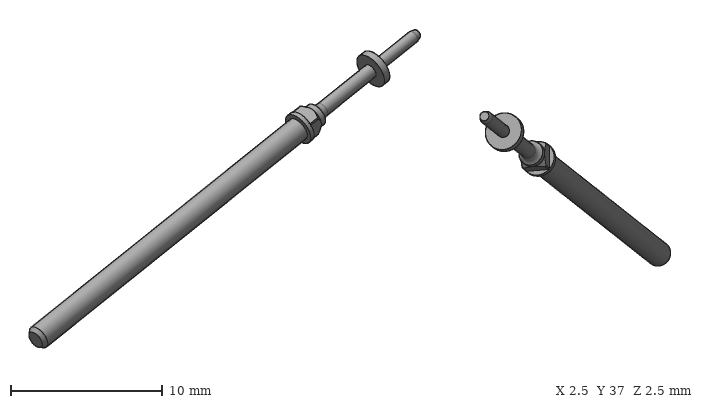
import cadquery as cq
import math

length = 37.0
tip_end = length / 2
tail_end = -length / 2
collar_top = 14.5
collar_thickness = 0.5
shoulder_bottom = 8.75
flange_top = 7.3
flange_thickness = 0.35

pin_diameter = 0.85
collar_diameter = 2.5
neck_diameter = 1.0
barrel_diameter = 1.65
flange_diameter = 2.3

tip_chamfer_length = 0.37
tip_chamfer_depth = 0.1
tail_chamfer_length = 0.3
tail_chamfer_depth = 0.22
shoulder_radius = 0.65

square_side = barrel_diameter
square_corner_diameter = 2.25
square_height = 1.05


def cylinder(diameter, top, bottom):
    """Solid cylinder on the pin axis between two stations."""
    end_face = cq.Workplane("XZ", origin=(0, top, 0))
    return end_face.circle(diameter / 2).extrude(top - bottom)


def turned(half_section):
    """Solid of revolution about the pin axis from a closed half section."""
    return half_section.close().revolve(360, (0, 0, 0), (0, 1, 0))


def frustum(top_diameter, top, bottom_diameter, bottom):
    """Solid truncated cone on the pin axis between two stations."""
    corners = [(0, top), (top_diameter / 2, top), (bottom_diameter / 2, bottom), (0, bottom)]
    return turned(cq.Workplane("XY").polyline(corners))


def make_shoulder():
    """Concave flare that leaves the neck tangentially and widens to the barrel."""
    neck_radius = neck_diameter / 2
    barrel_radius = barrel_diameter / 2
    rise = barrel_radius - neck_radius
    height = math.sqrt(shoulder_radius**2 - (shoulder_radius - rise) ** 2)
    top = shoulder_bottom + height
    half_section = (
        cq.Workplane("XY")
        .moveTo(0, top)
        .lineTo(neck_radius, top)
        .radiusArc((barrel_radius, shoulder_bottom), -shoulder_radius)
        .lineTo(0, shoulder_bottom)
    )
    return turned(half_section)


def make_wrench_square():
    """Square above the flange, its corners rounded and chamfered at 45 degrees."""
    chamfer = (square_corner_diameter - barrel_diameter) / 2
    blank_top = flange_top + square_height
    chamfer_bottom = blank_top - chamfer
    blank = frustum(barrel_diameter, blank_top, square_corner_diameter, chamfer_bottom)
    blank = blank.union(cylinder(square_corner_diameter, chamfer_bottom, flange_top))
    prism = (
        cq.Workplane("XZ", origin=(0, blank_top, 0))
        .rect(square_side, square_side)
        .extrude(blank_top - flange_top)
    )
    return blank.intersect(prism)


tip_chamfer_bottom = tip_end - tip_chamfer_length
tip = frustum(pin_diameter - 2 * tip_chamfer_depth, tip_end, pin_diameter, tip_chamfer_bottom)
pin = cylinder(pin_diameter, tip_chamfer_bottom, collar_top)
collar = cylinder(collar_diameter, collar_top, collar_top - collar_thickness)
neck = cylinder(neck_diameter, collar_top, shoulder_bottom)

tail_chamfer_top = tail_end + tail_chamfer_length
barrel = cylinder(barrel_diameter, shoulder_bottom, tail_chamfer_top)
tail = frustum(barrel_diameter, tail_chamfer_top, barrel_diameter - 2 * tail_chamfer_depth, tail_end)
flange = cylinder(flange_diameter, flange_top, flange_top - flange_thickness)

result = tip
for section in (pin, collar, neck, make_shoulder(), barrel, tail, flange, make_wrench_square()):
    result = result.union(section)